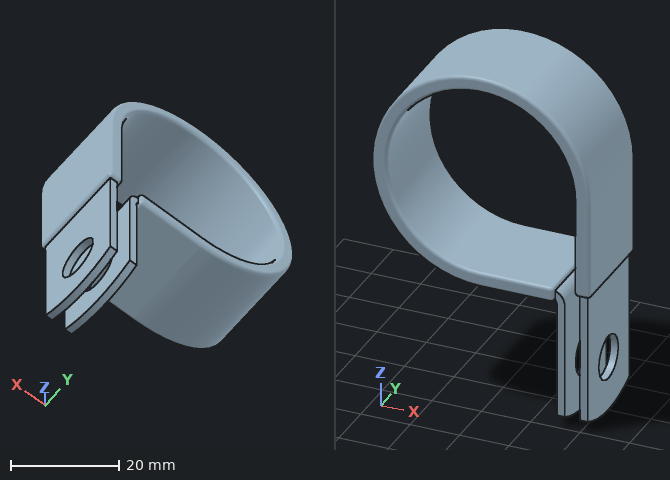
import cadquery as cq
import math

loop_radius = 22.15
cushion_thickness = 3.2
cushion_width = 20.7
cushion_rounding = 0.8
lower_cushion_end = 14.75
side_cushion_end = -19.8

strap_thickness = 1.6
strap_width = 19.0
bend_radius = 2.95
lower_tab_outer_x = 16.7

total_height = 70.55
tip_sagitta = 2.2
hole_diameter = 8.8
hole_to_tip = 11.15

tip_z = loop_radius - total_height
mid_radius = loop_radius - cushion_thickness / 2


def loop_band(thickness, width, lower_end_x, side_end_z):
    """Three-quarter loop with straight legs at its bottom and its +X side."""
    outer = mid_radius + thickness / 2
    inner = mid_radius - thickness / 2
    diagonal = math.sqrt(0.5)
    return (
        cq.Workplane("XZ")
        .moveTo(lower_end_x, -outer)
        .lineTo(0, -outer)
        .threePointArc((-outer * diagonal, outer * diagonal), (outer, 0))
        .lineTo(outer, side_end_z)
        .lineTo(inner, side_end_z)
        .lineTo(inner, 0)
        .threePointArc((-inner * diagonal, inner * diagonal), (0, -inner))
        .lineTo(lower_end_x, -inner)
        .close()
        .extrude(width / 2, both=True)
    )


def cushion():
    band = loop_band(cushion_thickness, cushion_width, lower_cushion_end, side_cushion_end)
    lower_end = cq.selectors.NearestToPointSelector((lower_cushion_end, 0, -mid_radius))
    side_end = cq.selectors.NearestToPointSelector((mid_radius, 0, side_cushion_end))
    rims = band.faces("<Y or >Y").edges()
    ends = band.faces(lower_end).edges().add(band.faces(side_end).edges())
    return rims.add(ends).fillet(cushion_rounding)


def lower_tab():
    """Bend at the end of the lower strap leg and the tab hanging from it."""
    top_z = -mid_radius + strap_thickness / 2
    inner_x = lower_tab_outer_x - strap_thickness
    bend_x = lower_tab_outer_x - bend_radius
    bend_z = top_z - bend_radius
    inner_bend_radius = bend_radius - strap_thickness
    return (
        cq.Workplane("XZ")
        .moveTo(bend_x, top_z)
        .radiusArc((lower_tab_outer_x, bend_z), bend_radius)
        .lineTo(lower_tab_outer_x, tip_z)
        .lineTo(inner_x, tip_z)
        .lineTo(inner_x, bend_z)
        .radiusArc((bend_x, top_z - strap_thickness), -inner_bend_radius)
        .close()
        .extrude(strap_width / 2, both=True)
    )


def tab_outline():
    """Tall block whose lower end has the curved tip of the tabs."""
    half_width = strap_width / 2
    shoulder_z = tip_z + tip_sagitta
    return (
        cq.Workplane("YZ")
        .moveTo(-half_width, loop_radius)
        .lineTo(-half_width, shoulder_z)
        .threePointArc((0, tip_z), (half_width, shoulder_z))
        .lineTo(half_width, loop_radius)
        .close()
        .extrude(loop_radius, both=True)
    )


def mounting_hole():
    return (
        cq.Workplane("YZ")
        .center(0, tip_z + hole_to_tip)
        .circle(hole_diameter / 2)
        .extrude(loop_radius)
    )


strap = loop_band(strap_thickness, strap_width, lower_tab_outer_x - bend_radius, tip_z)
strap = strap.union(lower_tab()).intersect(tab_outline()).cut(mounting_hole())

result = cushion().union(strap)